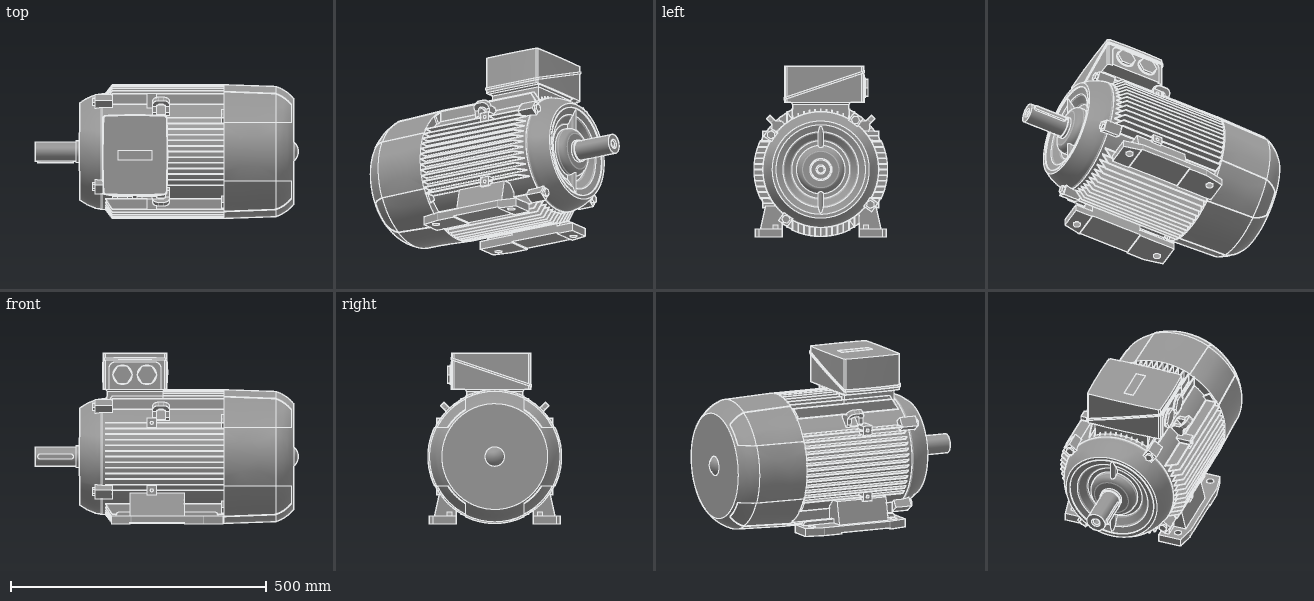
import cadquery as cq
import math


CENTRE_HEIGHT = 132.0
OVERALL_TOP = 202.4

SHAFT_LENGTH = 80.0
SHAFT_RADIUS = 19.0
COLLAR_RADIUS = 21.5
CENTRE_BORE_RADIUS = 6.5
CENTRE_SINK_RADIUS = 9.0
CENTRE_BORE_DEPTH = 30.0
KEY_LENGTH = 70.0
KEY_WIDTH = 10.0
KEY_TOP = 22.0
KEY_END_GAP = 5.0

HUB_FACE_X = 6.0
HUB_FACE_RADIUS = 35.5
HUB_ROOT_RADIUS = 47.5
HUB_BULGE = (11.0, 44.0)
HUB_BULGE_END_X = 20.0
SHIELD_FACE_X = 7.25
SHIELD_FACE_RADIUS = 95.0
SHIELD_BULGE = (24.0, 105.5)
SHIELD_RECESS_RADIUS = 87.5
SHIELD_RIM_X = 48.0
BODY_START_X = 51.0
SHIELD_RADIUS = 113.0
DISH_MIDDLE_RADIUS = 74.0
DISH_MIDDLE_X = 15.0
DISH_INNER_RADIUS = 58.5
DISH_FLOOR_X = 26.0
DISH_STEP = 2.0
WEB_WIDTH = 10.0
WEB_FRONT_X = 10.0
WEB_START_RADIUS = 40.0

ROOT_RADIUS = 113.5
OUTER_RADIUS = 131.0
COVER_START_X = 289.0
FIN_PITCH = 11.0
FIN_COUNT = 13
FIN_THICKNESS = 1.5
OUTER_FIN_OFFSET = FIN_PITCH * (FIN_COUNT - 1) / 2
FIN_NOSE_X = 57.5
FIN_FULL_X = 71.0

COVER_SHOULDER_X = 391.0
COVER_SHOULDER_RADIUS = 127.6
COVER_BULGE_X = 411.0
COVER_BULGE_RADIUS = 117.5
COVER_END_X = 426.0
COVER_END_RADIUS = 103.5
PANEL_EDGE = 57.2
PANEL_END_X = 421.3
PANEL_DEPTH = 1.2
CAP_RADIUS = 19.0
CAP_HEIGHT = 9.0

SCREW_LUG_RADIUS = 118.5
SCREW_LUG_SIDE = 21.0
SCREW_LUG_ANGLE = 35.0
SCREW_LUG_START_X = 37.0
SCREW_LUG_END_X = 71.0
SCREW_HEAD_RADIUS = 8.0
SCREW_HEAD_HEIGHT = 5.0
COVER_LUG_LENGTH = 4.0

SIDE_LUG_X = 148.2
SIDE_LUG_LENGTH = 19.0
SIDE_LUG_HEIGHT = 18.0
SIDE_LUG_Y = 113.7
SIDE_LUG_DEPTH = 30.0
SIDE_LUG_HOLE_RADIUS = 3.0
SIDE_LUG_HOLE_DEPTH = 10.0

EYE_X = 166.3
EYE_WIDTH = 33.4
EYE_OPENING = 17.0
EYE_OPENING_START = 116.0
EYE_CORNER_RADIUS = 11.5
EYE_OPENING_CORNER_RADIUS = 6.8
EYE_BASE_RADIUS = 108.5
EYE_TIP_RADIUS = 145.5
EYE_THICKNESS = 10.0
EYE_BASE_THICKNESS = 26.0
EYE_FLARE_START = 121.0
EYE_FLARE_END = 130.0

BOX_X_MIN = 53.0
BOX_X_MAX = 178.0
BOX_Y_MIN = -84.3
BOX_Y_MAX = 70.7
BOX_BOTTOM = 131.5
BOX_BOW = 1.5
BOX_CHAMFER = 3.0
LIP_OVERHANG = 1.5
LIP_THICKNESS = 4.0
LIP_LOW_Z = 140.5
LIP_HIGH_Z = 193.5
LABEL_LENGTH = 67.0
LABEL_WIDTH = 19.0
LABEL_DEPTH = 0.5
LABEL_CENTRE = (115.4, -7.4)

PEDESTAL_X_MIN = 61.0
PEDESTAL_X_MAX = 170.0
PEDESTAL_HALF_WIDTH = 55.0
PEDESTAL_FLARE = 4.0

GLAND_PLATE_X_MIN = 64.6
GLAND_PLATE_X_MAX = 166.2
GLAND_PLATE_TOP = 185.0
GLAND_PLATE_RADIUS = 12.0
GLAND_PLATE_THICKNESS = 1.5
PLUG_X = (91.0, 138.7)
PLUG_Z = 160.0
PLUG_RADIUS = 19.5
PLUG_SEAT_RADIUS = 18.9
PLUG_END_Y = -92.5
PLUG_SEAT = 2.0

FOOT_X_MIN = 69.3
FOOT_X_MAX = 287.6
FOOT_Y_OUTER = 128.5
FOOT_Y_INNER = 75.0
FOOT_THICKNESS = 16.0
FOOT_TAPER_LENGTH = 38.0
FOOT_TAPER = 8.0
FOOT_HOLE_X = (89.0, 267.0)
FOOT_HOLE_Y = 108.0
FOOT_HOLE_RADIUS = 7.0
FOOT_RELIEF_DEPTH = 2.5
POST_X_MIN = 105.5
POST_X_MAX = 212.0
POST_TOP_Z = -71.0
POST_TOP_Y = 108.0
POST_BOTTOM_Y = 118.0
FOOT_RIB_X_MIN = 78.0
FOOT_RIB_X_MAX = 278.0
FOOT_RIB_Y = 88.5
FOOT_RIB_WIDTH = 9.0
FOOT_RIB_HEIGHT = 7.5
FOOT_RIB_NOSE_RADIUS = 6.75

AXIS_X = cq.Vector(1, 0, 0)
AXIS_MINUS_Y = cq.Vector(0, -1, 0)


def block(x_range, y_range, z_range):
    """Axis-aligned box from its (low, high) limits."""
    size = [high - low for low, high in (x_range, y_range, z_range)]
    corner = cq.Vector(x_range[0], y_range[0], z_range[0])
    return cq.Workplane(cq.Solid.makeBox(*size, corner))


def rod(radius, x_start, x_end):
    """Cylinder on the shaft axis."""
    return cq.Workplane(cq.Solid.makeCylinder(radius, x_end - x_start, cq.Vector(x_start, 0, 0), AXIS_X))


def revolve_about_shaft(profile):
    """Revolve a closed (x, radius) profile about the shaft axis."""
    return profile.revolve(360, (0, 0, 0), (1, 0, 0))


def turn(solid, angle):
    """Rotate a solid about the shaft axis."""
    return solid.rotate((0, 0, 0), (1, 0, 0), angle)


def mirror_y(solid):
    """The solid together with its mirror image across Y = 0."""
    return solid.union(solid.mirror("XZ"))


def make_shaft():
    """Shaft end with its collar, key on the -Y side and countersunk centre bore."""
    shaft = rod(SHAFT_RADIUS, -SHAFT_LENGTH, 0).union(rod(COLLAR_RADIUS, 0, BODY_START_X))
    key = (
        cq.Workplane("XZ")
        .center(-KEY_END_GAP - KEY_LENGTH / 2, 0)
        .slot2D(KEY_LENGTH, KEY_WIDTH)
        .extrude(KEY_TOP)
    )
    sink_depth = CENTRE_SINK_RADIUS - CENTRE_BORE_RADIUS
    bore = revolve_about_shaft(
        cq.Workplane("XY")
        .moveTo(-SHAFT_LENGTH, 0)
        .lineTo(-SHAFT_LENGTH, CENTRE_SINK_RADIUS)
        .lineTo(-SHAFT_LENGTH + sink_depth, CENTRE_BORE_RADIUS)
        .lineTo(-SHAFT_LENGTH + CENTRE_BORE_DEPTH, CENTRE_BORE_RADIUS)
        .lineTo(-SHAFT_LENGTH + CENTRE_BORE_DEPTH, 0)
        .close()
    )
    return shaft.union(key).cut(bore)


def make_shield():
    """Drive-end shield: a dished face with a central hub and two round-nosed webs."""
    shield = revolve_about_shaft(
        cq.Workplane("XY")
        .moveTo(BODY_START_X, 0)
        .lineTo(HUB_FACE_X, 0)
        .lineTo(HUB_FACE_X, HUB_FACE_RADIUS)
        .threePointArc(HUB_BULGE, (HUB_BULGE_END_X, HUB_ROOT_RADIUS))
        .lineTo(DISH_FLOOR_X, HUB_ROOT_RADIUS)
        .lineTo(DISH_FLOOR_X, DISH_INNER_RADIUS - DISH_STEP)
        .lineTo(DISH_FLOOR_X - DISH_STEP, DISH_INNER_RADIUS)
        .lineTo(DISH_MIDDLE_X, DISH_MIDDLE_RADIUS - DISH_STEP)
        .lineTo(DISH_MIDDLE_X - DISH_STEP, DISH_MIDDLE_RADIUS)
        .lineTo(SHIELD_FACE_X + DISH_STEP, SHIELD_RECESS_RADIUS)
        .lineTo(SHIELD_FACE_X, SHIELD_RECESS_RADIUS)
        .lineTo(SHIELD_FACE_X, SHIELD_FACE_RADIUS)
        .threePointArc(SHIELD_BULGE, (SHIELD_RIM_X, SHIELD_RADIUS))
        .lineTo(BODY_START_X, SHIELD_RADIUS)
        .close()
    )
    nose_x = WEB_FRONT_X + WEB_WIDTH / 2
    web_height = SHIELD_RECESS_RADIUS - WEB_START_RADIUS
    web = (
        cq.Workplane("XY")
        .workplane(offset=WEB_START_RADIUS)
        .moveTo(BODY_START_X, -WEB_WIDTH / 2)
        .lineTo(nose_x, -WEB_WIDTH / 2)
        .threePointArc((WEB_FRONT_X, 0), (nose_x, WEB_WIDTH / 2))
        .lineTo(BODY_START_X, WEB_WIDTH / 2)
        .close()
        .extrude(web_height)
    )
    return shield.union(web).union(turn(web, 180))


def make_body():
    """Finned stator housing with parallel fins on all four sides."""
    envelope = revolve_about_shaft(
        cq.Workplane("XY")
        .polyline([
            (FIN_NOSE_X, 0),
            (FIN_NOSE_X, ROOT_RADIUS),
            (FIN_FULL_X, OUTER_RADIUS),
            (COVER_START_X, OUTER_RADIUS),
            (COVER_START_X, 0),
        ])
        .close()
    )
    fins = cq.Workplane()
    for index in range(FIN_COUNT):
        offset = index * FIN_PITCH - OUTER_FIN_OFFSET
        band = (offset - FIN_THICKNESS / 2, offset + FIN_THICKNESS / 2)
        reach = (-OUTER_RADIUS, OUTER_RADIUS)
        fins.add(block((FIN_NOSE_X, COVER_START_X), reach, band))
        fins.add(block((FIN_NOSE_X, COVER_START_X), band, reach))
    body = rod(ROOT_RADIUS, BODY_START_X, COVER_START_X)
    fin_grid = fins.vals()[0].fuse(*fins.vals()[1:])
    return body.union(envelope.intersect(cq.Workplane(fin_grid)))


def cover_solid(inset):
    """Fan cover body with its outer surface moved inwards by the inset."""
    return revolve_about_shaft(
        cq.Workplane("XY")
        .moveTo(COVER_START_X, 0)
        .lineTo(COVER_START_X, OUTER_RADIUS - inset)
        .lineTo(COVER_SHOULDER_X, COVER_SHOULDER_RADIUS - inset)
        .threePointArc((COVER_BULGE_X, COVER_BULGE_RADIUS - inset), (COVER_END_X, COVER_END_RADIUS - inset))
        .lineTo(COVER_END_X, 0)
        .close()
    )


def make_cover():
    """Fan cover with a rounded shoulder, four recessed corner panels and a domed cap."""
    outer = cover_solid(0)
    panel = block((COVER_START_X, PANEL_END_X), (PANEL_EDGE, OUTER_RADIUS), (PANEL_EDGE, OUTER_RADIUS))
    panel = panel.cut(cover_solid(PANEL_DEPTH))
    for quarter in range(4):
        outer = outer.cut(turn(panel, 90 * quarter))
    dome_radius = (CAP_RADIUS**2 + CAP_HEIGHT**2) / (2 * CAP_HEIGHT)
    apex_x = COVER_END_X + CAP_HEIGHT
    half_angle = math.asin(CAP_RADIUS / dome_radius) / 2
    middle = (apex_x - dome_radius * (1 - math.cos(half_angle)), dome_radius * math.sin(half_angle))
    cap = revolve_about_shaft(
        cq.Workplane("XY")
        .moveTo(COVER_END_X, 0)
        .lineTo(COVER_END_X, CAP_RADIUS)
        .threePointArc(middle, (apex_x, 0))
        .close()
    )
    return outer.union(cap)


def make_screw_lugs():
    """Four square lugs at each end of the housing; the drive-end ones carry screw heads."""
    half = SCREW_LUG_SIDE / 2
    span = (SCREW_LUG_RADIUS - half, SCREW_LUG_RADIUS + half)
    front = block((SCREW_LUG_START_X, SCREW_LUG_END_X), span, (-half, half))
    head = (
        cq.Workplane("YZ", origin=(SCREW_LUG_START_X, SCREW_LUG_RADIUS, 0))
        .polygon(6, 2 * SCREW_HEAD_RADIUS)
        .extrude(-SCREW_HEAD_HEIGHT)
    )
    front = front.union(head)
    rear = block((COVER_START_X - COVER_LUG_LENGTH, COVER_START_X), span, (-half, half))
    lugs = cq.Workplane()
    for quarter in range(4):
        lugs.add(turn(front, 90 * quarter + SCREW_LUG_ANGLE).val())
        lugs.add(turn(rear, 90 * quarter - SCREW_LUG_ANGLE).val())
    return lugs


def make_side_lugs():
    """Square bosses on the outermost fins, above and below centre on both sides."""
    half_length = SIDE_LUG_LENGTH / 2
    half_height = SIDE_LUG_HEIGHT / 2
    lug = block(
        (SIDE_LUG_X - half_length, SIDE_LUG_X + half_length),
        (SIDE_LUG_Y - SIDE_LUG_DEPTH, SIDE_LUG_Y),
        (OUTER_FIN_OFFSET - half_height, OUTER_FIN_OFFSET + half_height),
    )
    return mirror_y(lug.union(lug.mirror("XY")))


def make_side_lug_holes():
    """Blind holes into the square side bosses."""
    holes = cq.Workplane()
    for side in (-1, 1):
        for z in (-OUTER_FIN_OFFSET, OUTER_FIN_OFFSET):
            mouth = cq.Vector(SIDE_LUG_X, side * OUTER_RADIUS, z)
            depth = OUTER_RADIUS - SIDE_LUG_Y + SIDE_LUG_HOLE_DEPTH
            holes.add(cq.Solid.makeCylinder(SIDE_LUG_HOLE_RADIUS, depth, mouth, AXIS_MINUS_Y * side))
    return holes


def make_lifting_eyes():
    """Two flared lifting eyes standing radially at 45 degrees."""
    half_tip = EYE_THICKNESS / 2
    half_base = EYE_BASE_THICKNESS / 2
    section = (
        cq.Workplane("YZ")
        .polyline([
            (-half_base, EYE_BASE_RADIUS),
            (-half_base, EYE_FLARE_START),
            (-half_tip, EYE_FLARE_END),
            (-half_tip, EYE_TIP_RADIUS),
            (half_tip, EYE_TIP_RADIUS),
            (half_tip, EYE_FLARE_END),
            (half_base, EYE_FLARE_START),
            (half_base, EYE_BASE_RADIUS),
        ])
        .close()
        .extrude(EYE_WIDTH)
        .translate((EYE_X - EYE_WIDTH / 2, 0, 0))
    )
    section = section.edges("|Y and >Z").fillet(EYE_CORNER_RADIUS)
    opening_top = EYE_TIP_RADIUS - EYE_THICKNESS
    half_opening = EYE_OPENING / 2
    opening = (
        block(
            (EYE_X - half_opening, EYE_X + half_opening),
            (-EYE_BASE_THICKNESS, EYE_BASE_THICKNESS),
            (EYE_OPENING_START, opening_top),
        )
        .edges("|Y and >Z")
        .fillet(EYE_OPENING_CORNER_RADIUS)
    )
    return mirror_y(turn(section.cut(opening), 45))


def box_outline(overhang):
    """Terminal box plan: chamfered corners and four slightly bowed sides."""
    x_mid = (BOX_X_MIN + BOX_X_MAX) / 2
    y_mid = (BOX_Y_MIN + BOX_Y_MAX) / 2
    half_x = (BOX_X_MAX - BOX_X_MIN) / 2 + overhang
    half_y = (BOX_Y_MAX - BOX_Y_MIN) / 2 + overhang
    corner_x = half_x - BOX_BOW
    corner_y = half_y - BOX_BOW
    inner_x = corner_x - BOX_CHAMFER
    inner_y = corner_y - BOX_CHAMFER
    return (
        cq.Workplane("XY", origin=(x_mid, y_mid, BOX_BOTTOM))
        .moveTo(-corner_x, inner_y)
        .threePointArc((-half_x, 0), (-corner_x, -inner_y))
        .lineTo(-inner_x, -corner_y)
        .threePointArc((0, -half_y), (inner_x, -corner_y))
        .lineTo(corner_x, -inner_y)
        .threePointArc((half_x, 0), (corner_x, inner_y))
        .lineTo(inner_x, corner_y)
        .threePointArc((0, half_y), (-inner_x, corner_y))
        .close()
    )


def make_terminal_box():
    """Terminal box with a sloping parting lip, on a pedestal above the housing."""
    height = OVERALL_TOP - BOX_BOTTOM
    box = box_outline(0).extrude(height)
    lip_band = (
        cq.Workplane("YZ")
        .polyline([
            (BOX_Y_MIN - LIP_OVERHANG, LIP_HIGH_Z),
            (BOX_Y_MAX + LIP_OVERHANG, LIP_LOW_Z),
            (BOX_Y_MAX + LIP_OVERHANG, LIP_LOW_Z - LIP_THICKNESS),
            (BOX_Y_MIN - LIP_OVERHANG, LIP_HIGH_Z - LIP_THICKNESS),
        ])
        .close()
        .extrude(BOX_X_MAX + BOX_X_MIN)
    )
    lip = box_outline(LIP_OVERHANG).extrude(height).intersect(lip_band)
    label = (
        cq.Workplane("XY")
        .workplane(offset=OVERALL_TOP - LABEL_DEPTH)
        .center(*LABEL_CENTRE)
        .rect(LABEL_LENGTH, LABEL_WIDTH)
        .extrude(LABEL_DEPTH)
    )
    pedestal_x = (PEDESTAL_X_MIN, PEDESTAL_X_MAX)
    pedestal = block(pedestal_x, (-PEDESTAL_HALF_WIDTH, PEDESTAL_HALF_WIDTH), (ROOT_RADIUS / 2, BOX_BOTTOM))
    length = PEDESTAL_X_MAX - PEDESTAL_X_MIN
    flare = (
        cq.Workplane("XY")
        .workplane(offset=BOX_BOTTOM - PEDESTAL_FLARE)
        .center((PEDESTAL_X_MIN + PEDESTAL_X_MAX) / 2, 0)
        .rect(length, 2 * PEDESTAL_HALF_WIDTH)
        .workplane(offset=PEDESTAL_FLARE)
        .rect(length + 2 * PEDESTAL_FLARE, 2 * (PEDESTAL_HALF_WIDTH + PEDESTAL_FLARE))
        .loft()
    )
    return box.union(lip).cut(label).union(pedestal).union(flare)


def make_cable_entries():
    """Raised gland plate on the -Y face of the box with two hexagonal blanking plugs."""
    plate_y = BOX_Y_MIN - GLAND_PLATE_THICKNESS
    plate = block(
        (GLAND_PLATE_X_MIN, GLAND_PLATE_X_MAX),
        (plate_y, BOX_Y_MIN + 2 * BOX_BOW),
        (BOX_BOTTOM, GLAND_PLATE_TOP),
    )
    entries = plate.edges("|Y and >Z").fillet(GLAND_PLATE_RADIUS)
    seat_y = plate_y - PLUG_SEAT
    for x in PLUG_X:
        centre = cq.Vector(x, plate_y, PLUG_Z)
        seat = cq.Solid.makeCylinder(PLUG_SEAT_RADIUS, PLUG_SEAT, centre, AXIS_MINUS_Y)
        plug = (
            cq.Workplane("XZ", origin=(x, seat_y, PLUG_Z))
            .polygon(6, 2 * PLUG_RADIUS)
            .extrude(seat_y - PLUG_END_Y)
        )
        entries = entries.union(cq.Workplane(seat)).union(plug)
    return entries


def make_feet():
    """Two tapered foot plates with posts up to the housing, ribs and bolt holes."""
    bottom = -CENTRE_HEIGHT
    top = bottom + FOOT_THICKNESS
    foot = (
        cq.Workplane("XY")
        .workplane(offset=bottom)
        .polyline([
            (FOOT_X_MIN, FOOT_Y_INNER),
            (FOOT_X_MIN, FOOT_Y_OUTER - FOOT_TAPER),
            (FOOT_X_MIN + FOOT_TAPER_LENGTH, FOOT_Y_OUTER),
            (FOOT_X_MAX - FOOT_TAPER_LENGTH, FOOT_Y_OUTER),
            (FOOT_X_MAX, FOOT_Y_OUTER - FOOT_TAPER),
            (FOOT_X_MAX, FOOT_Y_INNER),
        ])
        .close()
        .extrude(FOOT_THICKNESS)
    )
    post = (
        cq.Workplane("YZ")
        .workplane(offset=POST_X_MIN)
        .polyline([
            (FOOT_Y_INNER, top),
            (FOOT_Y_INNER, POST_TOP_Z),
            (POST_TOP_Y, POST_TOP_Z),
            (POST_BOTTOM_Y, top),
        ])
        .close()
        .extrude(POST_X_MAX - POST_X_MIN)
    )
    half_rib = FOOT_RIB_WIDTH / 2
    rib = block(
        (FOOT_RIB_X_MIN, FOOT_RIB_X_MAX),
        (FOOT_RIB_Y - half_rib, FOOT_RIB_Y + half_rib),
        (top, top + FOOT_RIB_HEIGHT),
    )
    rib = rib.edges("|Y and >Z").fillet(FOOT_RIB_NOSE_RADIUS)
    relief = block(
        (POST_X_MIN, POST_X_MAX), (FOOT_Y_INNER, FOOT_Y_OUTER), (bottom, bottom + FOOT_RELIEF_DEPTH)
    )
    holes = (
        cq.Workplane("XY")
        .workplane(offset=bottom)
        .pushPoints([(x, FOOT_HOLE_Y) for x in FOOT_HOLE_X])
        .circle(FOOT_HOLE_RADIUS)
        .extrude(FOOT_THICKNESS)
    )
    return mirror_y(foot.union(post).union(rib).cut(relief).cut(holes))


result = make_body()
for piece in (
    make_shield(),
    make_shaft(),
    make_cover(),
    make_screw_lugs(),
    make_side_lugs(),
    make_lifting_eyes(),
    make_terminal_box(),
    make_cable_entries(),
    make_feet(),
):
    for member in piece.vals():
        result = result.union(cq.Workplane(member))
for hole in make_side_lug_holes().vals():
    result = result.cut(cq.Workplane(hole))